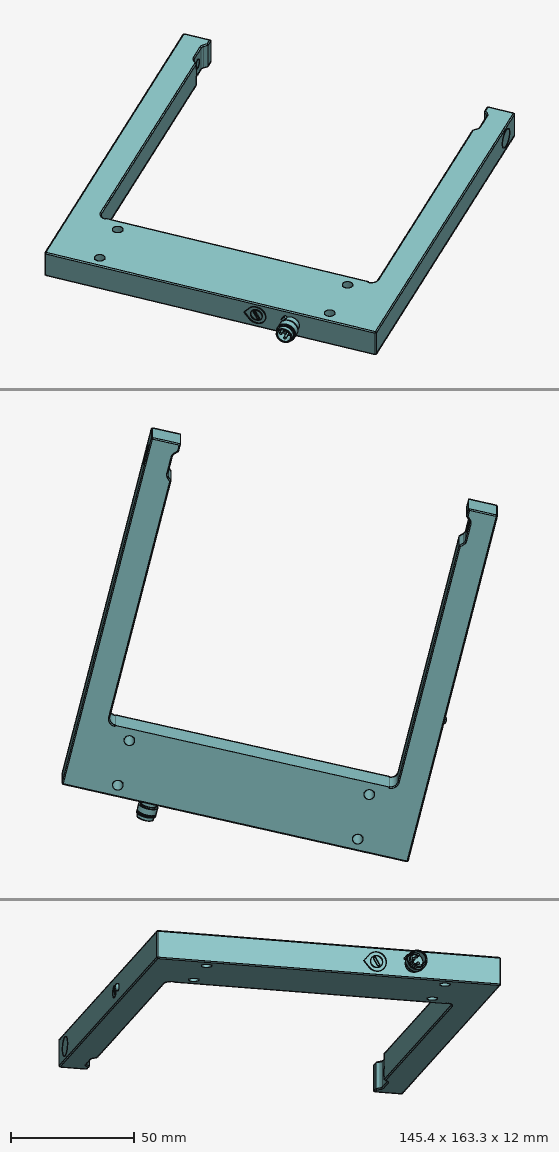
import cadquery as cq
import math


WIDTH = 144.3
LENGTH = 155.0
THICKNESS = 12.0
ARM_WIDTH = 12.1
BRIDGE_DEPTH = 30.0
INNER_CORNER_RADIUS = 3.0
EDGE_CHAMFER = 0.5

OPTICS_FROM_TIP = 10.0
NOTCH_HALF_LENGTH = 6.5
NOTCH_DEPTH = 2.0
NOTCH_CORNER_RADIUS = 2.0
APERTURE_DIAMETER = 4.2
COVER_DIAMETER = 8.2
MARK_DEPTH = 0.2

HOLE_DIAMETER = 4.2
HOLE_SPACING_X = 100.0
HOLE_SPACING_Y = 20.0
FIRST_HOLE_Y = 5.0

ADJUSTER_DIAMETER = 5.0
SLOT_LENGTH = 4.0
SLOT_WIDTH = 1.0
SLOT_ANGLE = 120
ADJUSTER_DEPTH = 0.5
FRONT_ADJUSTER_X = 92.2
FRONT_POCKET_RADIUS = 4.1
FRONT_POCKET_TIP_ANGLE = 100
SIDE_ADJUSTER_Y = 67.3

LAMP_Y = 61.3
LAMP_DIAMETER = 3.1
LAMP_HEIGHT = 1.1
LAMP_ROUNDING = 1.0

CONNECTOR_X = 107.5
CONNECTOR_LENGTH = 8.3
CONNECTOR_SECTIONS = [
    (6.9, 2.3),
    (6.4, 3.0),
    (8.0, 5.7),
    (6.9, 6.2),
    (8.0, 6.7),
    (6.9, CONNECTOR_LENGTH),
]
SOCKET_DIAMETER = 5.7
SOCKET_DEPTH = 4.1
PIN_DIAMETER = 1.0
PIN_CIRCLE_RADIUS = 1.8
PIN_ANGLES = [90, 180, 270]
PIN_LENGTH = 3.3
KEY_REACH = 4.4
KEY_WIDTH = 2.0
KEY_LENGTH = 1.3
KEY_ANGLE = 140

OPTICS_Y = LENGTH - OPTICS_FROM_TIP
FUSE_OVERLAP = 0.8


def front_plane(x):
    """Plane of the front wall, facing -Y: local x is +X, local y is +Z, normal points outward."""
    return cq.Plane(origin=(x, 0, 0), xDir=(1, 0, 0), normal=(0, -1, 0))


def left_plane(y, x=0):
    """Plane in a wall facing -X: local x is -Y, local y is +Z, normal points outward."""
    return cq.Plane(origin=(x, y, 0), xDir=(0, -1, 0), normal=(-1, 0, 0))


def mirrored(shape):
    """Copy of a shape on the opposite arm."""
    return shape.mirror("YZ", (WIDTH / 2, 0, 0))


def make_notch():
    """Sloped notch in the inner wall of the left arm, around the light beam."""
    floor_half_length = NOTCH_HALF_LENGTH - NOTCH_DEPTH
    floor_x = ARM_WIDTH - NOTCH_DEPTH
    return (
        cq.Workplane("XY", origin=(0, OPTICS_Y, -THICKNESS / 2))
        .moveTo(ARM_WIDTH, -NOTCH_HALF_LENGTH)
        .lineTo(floor_x, -floor_half_length)
        .lineTo(floor_x, floor_half_length)
        .lineTo(ARM_WIDTH, NOTCH_HALF_LENGTH)
        .close()
        .extrude(THICKNESS)
        .edges("|Z and <X")
        .fillet(NOTCH_CORNER_RADIUS)
    )


def make_housing():
    """Fork with chamfered edges; only the straight edge of the bridge in the gap stays sharp."""
    plate = (
        cq.Workplane("XY")
        .box(WIDTH, LENGTH, THICKNESS, centered=(False, False, True))
        .edges("|Z")
        .chamfer(EDGE_CHAMFER)
    )
    gap_width = WIDTH - 2 * ARM_WIDTH
    gap = (
        cq.Workplane("XY", origin=(ARM_WIDTH, BRIDGE_DEPTH, 0))
        .box(gap_width, LENGTH, THICKNESS, centered=(False, False, True))
        .edges("|Z and <Y")
        .fillet(INNER_CORNER_RADIUS)
    )
    notch = make_notch()
    fork = plate.cut(gap).cut(notch).cut(mirrored(notch))
    fork = fork.faces("|Z").edges().chamfer(EDGE_CHAMFER)
    sharp_edge = cq.Workplane("XY", origin=(WIDTH / 2, BRIDGE_DEPTH - EDGE_CHAMFER / 2, 0)).box(
        gap_width - 2 * INNER_CORNER_RADIUS, EDGE_CHAMFER, THICKNESS
    )
    return fork.union(sharp_edge)


def make_mounting_holes():
    return (
        cq.Workplane("XY", origin=(WIDTH / 2, FIRST_HOLE_Y + HOLE_SPACING_Y / 2, -THICKNESS / 2))
        .rarray(HOLE_SPACING_X, HOLE_SPACING_Y, 2, 2)
        .circle(HOLE_DIAMETER / 2)
        .extrude(THICKNESS)
    )


def make_optics_recesses():
    """Shallow round recesses on the left arm: outer cover and inner beam aperture."""
    cover = cq.Workplane(left_plane(OPTICS_Y)).circle(COVER_DIAMETER / 2).extrude(-MARK_DEPTH)
    notch_floor = left_plane(OPTICS_Y, ARM_WIDTH - NOTCH_DEPTH)
    aperture = cq.Workplane(notch_floor).circle(APERTURE_DIAMETER / 2).extrude(MARK_DEPTH)
    return cover.union(aperture)


def make_adjuster_disc(plane, depth):
    """Disc reaching from a wall surface down to the given depth."""
    return cq.Workplane(plane).circle(ADJUSTER_DIAMETER / 2).extrude(-depth)


def make_slot(plane):
    return (
        cq.Workplane(plane)
        .transformed(rotate=(0, 0, SLOT_ANGLE))
        .rect(SLOT_LENGTH, SLOT_WIDTH)
        .extrude(-ADJUSTER_DEPTH)
    )


def make_front_pocket(plane):
    """Round pocket with a pointer tip toward -X."""
    half_tip = math.radians(FRONT_POCKET_TIP_ANGLE / 2)
    tip_x = -FRONT_POCKET_RADIUS / math.sin(half_tip)
    tangent_x = -FRONT_POCKET_RADIUS * math.sin(half_tip)
    tangent_z = FRONT_POCKET_RADIUS * math.cos(half_tip)
    return (
        cq.Workplane(plane)
        .moveTo(tip_x, 0)
        .lineTo(tangent_x, tangent_z)
        .threePointArc((FRONT_POCKET_RADIUS, 0), (tangent_x, -tangent_z))
        .close()
        .extrude(-ADJUSTER_DEPTH)
    )


def make_lamp():
    """Short round lamp with a rounded end on the left wall."""
    return (
        cq.Workplane(left_plane(LAMP_Y))
        .workplane(offset=-FUSE_OVERLAP)
        .circle(LAMP_DIAMETER / 2)
        .extrude(LAMP_HEIGHT + FUSE_OVERLAP)
        .faces("<X")
        .edges()
        .fillet(LAMP_ROUNDING)
    )


def make_connector():
    plane = front_plane(CONNECTOR_X)
    inner_end = -FUSE_OVERLAP
    body = None
    for diameter, outer_end in CONNECTOR_SECTIONS:
        section = (
            cq.Workplane(plane)
            .workplane(offset=inner_end)
            .circle(diameter / 2)
            .extrude(outer_end - inner_end)
        )
        body = section if body is None else body.union(section)
        inner_end = outer_end

    key = (
        cq.Workplane(plane)
        .transformed(rotate=(0, 0, KEY_ANGLE))
        .center(KEY_REACH / 2, 0)
        .rect(KEY_REACH, KEY_WIDTH)
        .extrude(KEY_LENGTH)
    )

    socket_floor = cq.Workplane(plane).workplane(offset=CONNECTOR_LENGTH - SOCKET_DEPTH)
    socket = socket_floor.circle(SOCKET_DIAMETER / 2).extrude(SOCKET_DEPTH)
    body = body.union(key).cut(socket)

    pin_centres = [
        (
            PIN_CIRCLE_RADIUS * math.cos(math.radians(angle)),
            PIN_CIRCLE_RADIUS * math.sin(math.radians(angle)),
        )
        for angle in PIN_ANGLES
    ]
    pins = (
        cq.Workplane(plane)
        .workplane(offset=CONNECTOR_LENGTH - SOCKET_DEPTH - FUSE_OVERLAP)
        .pushPoints(pin_centres)
        .circle(PIN_DIAMETER / 2)
        .extrude(PIN_LENGTH + FUSE_OVERLAP)
    )
    return body.union(pins)


optics = make_optics_recesses()
front_adjuster = front_plane(FRONT_ADJUSTER_X)
side_adjuster = left_plane(SIDE_ADJUSTER_Y)

result = (
    make_housing()
    .cut(make_mounting_holes())
    .cut(optics)
    .cut(mirrored(optics))
    .cut(make_front_pocket(front_adjuster))
    .union(make_adjuster_disc(front_adjuster, ADJUSTER_DEPTH))
    .cut(make_slot(front_adjuster))
    .cut(make_adjuster_disc(side_adjuster, MARK_DEPTH))
    .cut(make_slot(side_adjuster))
    .union(make_lamp())
    .union(make_connector())
)